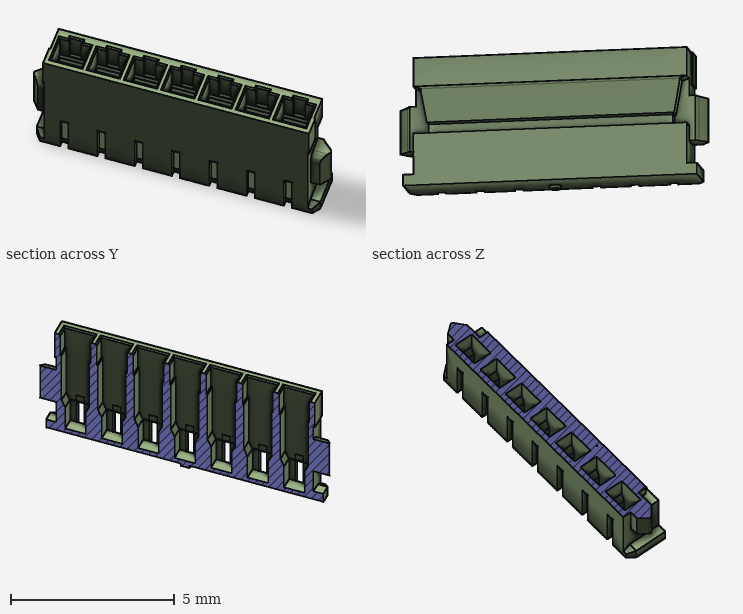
import cadquery as cq
import math

total_length = 9.56
body_width = 8.48
body_depth = 1.4
body_height = 3.98
half_body = body_width / 2

pad_overhang = 0.04
pad_depth = 0.6
pad_height = 1.0

contact_count = 7
contact_span = 7.2
contact_pitch = contact_span / (contact_count - 1)
contact_x = [(i - (contact_count - 1) / 2) * contact_pitch for i in range(contact_count)]

lead_in = 0.05
mouth_width = 0.98
mouth_front = 0.21
mouth_back = 1.08
mouth_floor = 3.14
groove_width = 0.39
groove_back = 1.195
groove_floor = 3.17

step_width = 0.9
step_back = 0.97
step_floor = 3.12
well_back = 0.83
funnel_top = 1.31
funnel_bottom = 1.04
chamber_width = 0.66
chamber_floor = 0.18

slot_width = 0.26
slot_height = 1.27
slot_depth = 0.18

recess_front = 0.97
recess_levels = [
    (3.09, 0.02, 0.0),
    (3.02, 0.03, 0.21),
    (1.97, 0.1, 0.4),
    (1.91, 0.14, 0.45),
    (1.62, 0.14, 0.45),
]

wing_front = 0.29
wing_back = 0.97
wing_knee = 0.87
wing_bottom = 1.15
wing_peak = 2.55
tip_radius = 0.09
tip_y = 0.63
front_flank_angle = math.radians(38)
back_flank_angle = math.radians(52)
knee_flank_angle = math.radians(45)
wing_slope = math.radians(10.5)
shoulder_radius = 0.3

foot_width = 9.12
foot_height = 0.34
foot_bevel_depth = 0.25
foot_bevel_inset = 0.18
foot_front_height = 0.19
nub_diameter = 0.37
nub_tip_diameter = 0.32
nub_height = 0.1
nub_y = 0.49


def box(x, width, y0, y1, z0, z1):
    """Block centred on x, between two Y and two Z positions."""
    block = cq.Workplane("XY").box(width, y1 - y0, z1 - z0, centered=(True, False, False))
    return block.translate((x, y0, z0))


def both_ends(shape):
    """The shape together with its mirror image at the other end."""
    return shape.union(shape.mirror("YZ"))


def lead_in_pyramid(width, y0, y1):
    """Chamfer that widens an opening of the given size at the top face."""
    return (
        cq.Workplane("XY", origin=(0, (y0 + y1) / 2, body_height))
        .rect(width + 2 * lead_in, y1 - y0 + 2 * lead_in)
        .workplane(offset=-lead_in)
        .rect(width, y1 - y0)
        .loft(ruled=True)
    )


def cavity():
    """Contact cavity on the centre line, open at the top."""
    mouth = box(0, mouth_width, mouth_front, mouth_back, mouth_floor, body_height)
    mouth = mouth.union(lead_in_pyramid(mouth_width, mouth_front, mouth_back))
    groove = box(0, groove_width, mouth_front, groove_back, groove_floor, body_height)
    groove = groove.union(lead_in_pyramid(groove_width, mouth_front, groove_back))
    step = box(0, step_width, mouth_front, step_back, step_floor, body_height)
    well = (
        cq.Workplane("XZ", origin=(0, mouth_front, 0))
        .moveTo(-step_width / 2, body_height - lead_in)
        .lineTo(-step_width / 2, funnel_top)
        .lineTo(-chamber_width / 2, funnel_bottom)
        .lineTo(chamber_width / 2, funnel_bottom)
        .lineTo(step_width / 2, funnel_top)
        .lineTo(step_width / 2, body_height - lead_in)
        .close()
        .extrude(mouth_front - well_back)
    )
    chamber = box(0, chamber_width, slot_depth, well_back, chamber_floor, funnel_bottom)
    return mouth.union(groove).union(step).union(well).union(chamber)


def back_recess():
    """Shallow stepped recess over the full width of the back face."""
    top = recess_levels[0][0]
    bottom = recess_levels[-1][0]
    points = [(body_depth - back, z) for z, back, _ in recess_levels]
    points += [(body_depth, bottom), (body_depth, top)]
    return cq.Workplane("YZ", origin=(-half_body, 0, 0)).polyline(points).close().extrude(body_width)


def end_recess():
    """Deeper pocket at the left end of the back recess, following the same steps."""
    bottom = recess_levels[-1][0]
    points = [(inset - half_body, z) for z, _, inset in recess_levels]
    points.append((-half_body, bottom))
    return (
        cq.Workplane("XZ", origin=(0, recess_front, 0))
        .polyline(points)
        .close()
        .extrude(recess_front - body_depth)
    )


def wing():
    """Left locking wing: round-nosed plan trimmed by a sloped, round-shouldered side outline."""
    tip_x = -total_length / 2
    centre_x = tip_x + tip_radius
    front_x = centre_x - tip_radius * math.cos(front_flank_angle)
    front_y = tip_y - tip_radius * math.sin(front_flank_angle)
    back_x = centre_x - tip_radius * math.cos(back_flank_angle)
    back_y = tip_y + tip_radius * math.sin(back_flank_angle)
    front_corner_x = front_x + (front_y - wing_front) * math.tan(front_flank_angle)
    knee_x = back_x + (wing_knee - back_y) * math.tan(back_flank_angle)
    back_corner_x = knee_x + (wing_back - wing_knee) * math.tan(knee_flank_angle)
    plan = (
        cq.Workplane("XY", origin=(0, 0, wing_bottom))
        .moveTo(-half_body, wing_front)
        .lineTo(front_corner_x, wing_front)
        .lineTo(front_x, front_y)
        .threePointArc((tip_x, tip_y), (back_x, back_y))
        .lineTo(knee_x, wing_knee)
        .lineTo(back_corner_x, wing_back)
        .lineTo(-half_body, wing_back)
        .close()
        .extrude(wing_peak - wing_bottom)
    )

    shoulder_y = wing_front + shoulder_radius * (1 - math.sin(wing_slope))
    shoulder_z = wing_peak - (wing_back - shoulder_y) * math.tan(wing_slope)
    centre_z = shoulder_z - shoulder_radius * math.cos(wing_slope)
    mid_angle = (math.pi / 2 + wing_slope) / 2
    mid_y = wing_front + shoulder_radius * (1 - math.sin(mid_angle))
    mid_z = centre_z + shoulder_radius * math.cos(mid_angle)
    side = (
        cq.Workplane("YZ", origin=(tip_x, 0, 0))
        .moveTo(wing_front, wing_bottom)
        .lineTo(wing_front, centre_z)
        .threePointArc((mid_y, mid_z), (shoulder_y, shoulder_z))
        .lineTo(wing_back, wing_peak)
        .lineTo(wing_back, wing_bottom)
        .close()
        .extrude(total_length / 2 - half_body)
    )
    return plan.intersect(side)


def foot():
    """Bottom flange with bevelled front corners and a sloped front top edge."""
    half_foot = foot_width / 2
    half_front = half_foot - foot_bevel_inset
    plan = (
        cq.Workplane("XY")
        .polyline([
            (-half_front, 0),
            (half_front, 0),
            (half_foot, foot_bevel_depth),
            (half_foot, body_depth),
            (-half_foot, body_depth),
            (-half_foot, foot_bevel_depth),
        ])
        .close()
        .extrude(foot_height)
    )
    side = (
        cq.Workplane("YZ", origin=(-half_foot, 0, 0))
        .polyline([
            (0, 0),
            (0, foot_front_height),
            (foot_bevel_depth, foot_height),
            (body_depth, foot_height),
            (body_depth, 0),
        ])
        .close()
        .extrude(foot_width)
    )
    return plan.intersect(side)


def nub():
    """Small tapered locating nub under the middle of the housing."""
    return (
        cq.Workplane("XY", origin=(0, nub_y, 0))
        .circle(nub_diameter / 2)
        .workplane(offset=-nub_height)
        .circle(nub_tip_diameter / 2)
        .loft()
    )


housing = box(0, body_width, 0, body_depth, 0, body_height)
pad_width = body_width + 2 * pad_overhang
housing = housing.union(box(0, pad_width, 0, pad_depth, body_height - pad_height, body_height))
housing = housing.cut(back_recess()).cut(both_ends(end_recess()))
housing = housing.union(both_ends(wing())).union(foot()).union(nub())

contact_cavity = cavity()
for x in contact_x:
    housing = housing.cut(contact_cavity.translate((x, 0, 0)))
    housing = housing.cut(box(x, slot_width, 0, slot_depth, 0, slot_height))

result = housing